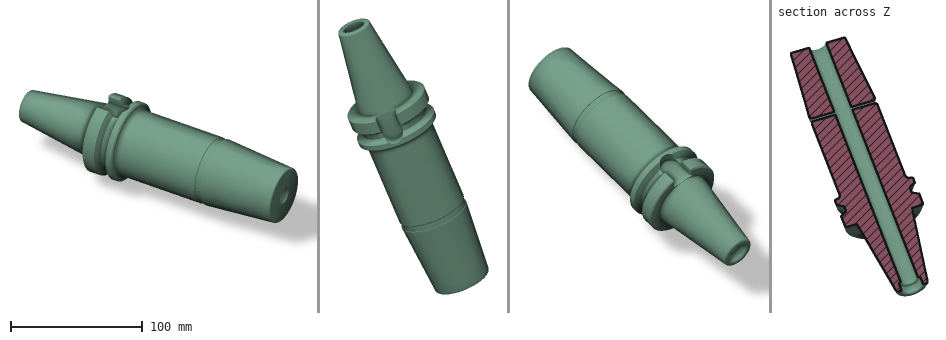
import cadquery as cq
import math


GAUGE_RADIUS = 44.45 / 2
SHANK_LENGTH = 65.4
TAPER_RATIO = 7 / 24
SHANK_END_FILLET = 1.8

FLANGE_RADIUS = 31.5
FLANGE_FACE_X = 1.0
FLANGE_END_X = 27.0
FLANGE_CHAMFER = 1.0
GROOVE_MIDDLE_X = 16.6
GROOVE_FLOOR_WIDTH = 4.5
GROOVE_FLOOR_RADIUS = 26.5
GROOVE_FLANK_ANGLE = 30.0

SLOT_WIDTH = 16.1
SLOT_FLOOR_HEIGHT = 22.6
SLOT_LENGTH = 23.0
SLOT_EDGE_CHAMFER = 1.0
SLOT_FLOOR_FILLET = 0.5

BODY_RADIUS = 26.5
BODY_FILLET = 3.0
NOSE_END_X = 160.0
NOSE_END_RADIUS = 22.0
NOSE_END_FILLET = 1.2
NOSE_START_X = 102.7
RIDGE_WIDTH = 1.2
RELIEF_WIDTH = 4.6
RELIEF_DEPTH = 0.7

BORE_RADIUS = 6.7
COUNTERBORE_RADIUS = 8.5
COUNTERBORE_DEPTH = 6.5
MOUTH_CHAMFER = 0.8
BORE_CONE_ANGLE = 60.0

CROSS_HOLE_DIAMETER = 2.2
CROSS_HOLE_X = 98.9

SHANK_END_X = -SHANK_LENGTH
RIDGE_START_X = NOSE_START_X - RIDGE_WIDTH
RELIEF_START_X = RIDGE_START_X - RELIEF_WIDTH


def taper_radius(x):
    """Radius of the shank taper at axial position x."""
    return GAUGE_RADIUS + x * TAPER_RATIO / 2


def make_body():
    """Solid of revolution holding the shank, flange, body and nose."""
    groove_start_x = GROOVE_MIDDLE_X - GROOVE_FLOOR_WIDTH / 2
    groove_end_x = GROOVE_MIDDLE_X + GROOVE_FLOOR_WIDTH / 2
    flank_run = (FLANGE_RADIUS - GROOVE_FLOOR_RADIUS) * math.tan(math.radians(GROOVE_FLANK_ANGLE))
    flange_edge_radius = FLANGE_RADIUS - FLANGE_CHAMFER
    relief_radius = BODY_RADIUS - RELIEF_DEPTH

    profile = (
        cq.Workplane("XZ")
        .moveTo(SHANK_END_X, 0)
        .lineTo(SHANK_END_X, taper_radius(SHANK_END_X))
        .lineTo(FLANGE_FACE_X, taper_radius(FLANGE_FACE_X))
        .lineTo(FLANGE_FACE_X, flange_edge_radius)
        .lineTo(FLANGE_FACE_X + FLANGE_CHAMFER, FLANGE_RADIUS)
        .lineTo(groove_start_x - flank_run, FLANGE_RADIUS)
        .lineTo(groove_start_x, GROOVE_FLOOR_RADIUS)
        .lineTo(groove_end_x, GROOVE_FLOOR_RADIUS)
        .lineTo(groove_end_x + flank_run, FLANGE_RADIUS)
        .lineTo(FLANGE_END_X - FLANGE_CHAMFER, FLANGE_RADIUS)
        .lineTo(FLANGE_END_X, flange_edge_radius)
        .lineTo(FLANGE_END_X, BODY_RADIUS + BODY_FILLET)
        .radiusArc((FLANGE_END_X + BODY_FILLET, BODY_RADIUS), -BODY_FILLET)
        .lineTo(RELIEF_START_X - RELIEF_DEPTH, BODY_RADIUS)
        .lineTo(RELIEF_START_X, relief_radius)
        .lineTo(RIDGE_START_X, relief_radius)
        .lineTo(RIDGE_START_X, BODY_RADIUS)
        .lineTo(NOSE_START_X, BODY_RADIUS)
        .lineTo(NOSE_END_X, NOSE_END_RADIUS)
        .lineTo(NOSE_END_X, 0)
        .close()
    )
    body = profile.revolve(360, (0, 0, 0), (1, 0, 0))
    return body.faces("<X").edges().fillet(SHANK_END_FILLET).faces(">X").edges().fillet(NOSE_END_FILLET)


def make_bore():
    """Through bore, widened at the shank end by a counterbore."""
    counterbore_end_x = SHANK_END_X + COUNTERBORE_DEPTH
    cone_length = (COUNTERBORE_RADIUS - BORE_RADIUS) / math.tan(math.radians(BORE_CONE_ANGLE))
    profile = (
        cq.Workplane("XZ")
        .moveTo(SHANK_END_X, 0)
        .lineTo(SHANK_END_X, COUNTERBORE_RADIUS + MOUTH_CHAMFER)
        .lineTo(SHANK_END_X + MOUTH_CHAMFER, COUNTERBORE_RADIUS)
        .lineTo(counterbore_end_x, COUNTERBORE_RADIUS)
        .lineTo(counterbore_end_x + cone_length, BORE_RADIUS)
        .lineTo(NOSE_END_X, BORE_RADIUS)
        .lineTo(NOSE_END_X, 0)
        .close()
    )
    return profile.revolve(360, (0, 0, 0), (1, 0, 0))


def make_drive_slot():
    """Cutter for the +Z drive slot: round inner end, chamfered front and top edges."""
    half_width = SLOT_WIDTH / 2
    mouth_half_width = half_width + SLOT_EDGE_CHAMFER
    slot_height = FLANGE_RADIUS - SLOT_FLOOR_HEIGHT
    arc_start_x = FLANGE_FACE_X + SLOT_LENGTH - half_width
    slot = (
        cq.Workplane("XY", origin=(0, 0, SLOT_FLOOR_HEIGHT))
        .moveTo(FLANGE_FACE_X, -mouth_half_width)
        .lineTo(FLANGE_FACE_X + SLOT_EDGE_CHAMFER, -half_width)
        .lineTo(arc_start_x, -half_width)
        .threePointArc((arc_start_x + half_width, 0), (arc_start_x, half_width))
        .lineTo(FLANGE_FACE_X + SLOT_EDGE_CHAMFER, half_width)
        .lineTo(FLANGE_FACE_X, mouth_half_width)
        .close()
        .extrude(slot_height)
        .faces("<Z")
        .edges("not <X")
        .fillet(SLOT_FLOOR_FILLET)
    )
    mouth_edge_height = math.sqrt(FLANGE_RADIUS**2 - mouth_half_width**2)
    top_chamfer = (
        cq.Workplane("YZ", origin=(FLANGE_FACE_X, 0, 0))
        .moveTo(-half_width, mouth_edge_height - SLOT_EDGE_CHAMFER)
        .lineTo(half_width, mouth_edge_height - SLOT_EDGE_CHAMFER)
        .lineTo(mouth_half_width, mouth_edge_height)
        .lineTo(mouth_half_width, FLANGE_RADIUS)
        .lineTo(-mouth_half_width, FLANGE_RADIUS)
        .lineTo(-mouth_half_width, mouth_edge_height)
        .close()
        .extrude(GROOVE_MIDDLE_X - FLANGE_FACE_X)
    )
    return slot.union(top_chamfer)


def make_cross_hole():
    """Small hole along Y, right through the body."""
    return (
        cq.Workplane("XZ", origin=(CROSS_HOLE_X, 0, 0))
        .circle(CROSS_HOLE_DIAMETER / 2)
        .extrude(BODY_RADIUS, both=True)
    )


result = make_body().cut(make_bore()).cut(make_cross_hole())
drive_slot = make_drive_slot()
for slot_angle in (0, 180):
    result = result.cut(drive_slot.rotate((0, 0, 0), (1, 0, 0), slot_angle))